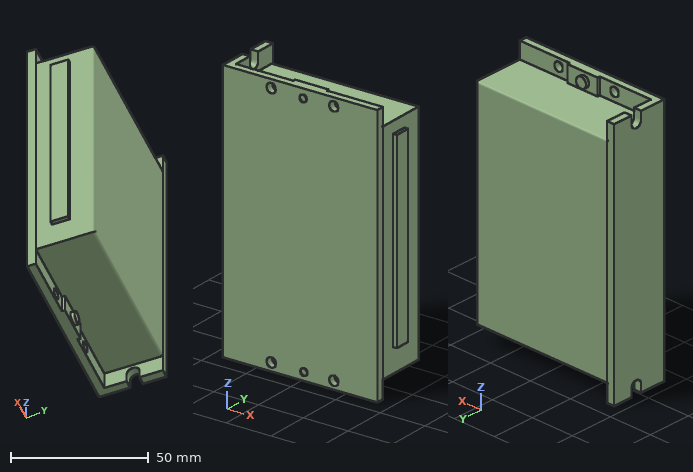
import cadquery as cq

BRACKET_LENGTH_X = 69.1
DEPTH_Y = 26.5
HEIGHT_Z = 116.0
SHEET = 3.5

SLOT_WIDTH = 5.0
SLOT_DEPTH = 6.1
SLOT_CENTRE_Y = 14.7

HOLE_DIAMETER = 4.1
HOLE_CENTRES_X = (21.7, 49.6)
HOLE_END_DISTANCE = 3.6

COVER_END_GAP = 7.8
COVER_FILLET = 1.0

PAD_START_X = 29.0
PAD_LENGTH_X = 15.1
PAD_THICKNESS = 1.2

BOSS_DIAMETER = 5.0
BOSS_HEIGHT = 1.5
DIMPLE_DIAMETER = 3.0
DIMPLE_DEPTH = 0.3
UPPER_BOSS_X = 35.8
UPPER_BOSS_END_DISTANCE = 4.1
LOWER_BOSS_X = 36.2
LOWER_BOSS_END_DISTANCE = 3.5

CONNECTOR_THICKNESS_X = 1.6
CONNECTOR_WIDTH_Y = 7.0
CONNECTOR_START_Y = 9.9
CONNECTOR_BOTTOM_Z = 18.5
CONNECTOR_TOP_Z = 103.0

BOSS_CENTRES = (
    (UPPER_BOSS_X, HEIGHT_Z - UPPER_BOSS_END_DISTANCE),
    (LOWER_BOSS_X, LOWER_BOSS_END_DISTANCE),
)


def box(size_x, size_y, size_z, corner):
    """Box that grows in +X, +Y and +Z from its lowest corner."""
    return cq.Workplane("XY").box(size_x, size_y, size_z, centered=False).translate(corner)


def cylinder_along_y(diameter, length, centre_x, start_y, centre_z):
    """Cylinder that grows in +Y from start_y."""
    base = cq.Vector(centre_x, start_y, centre_z)
    return cq.Workplane(cq.Solid.makeCylinder(diameter / 2, length, base, cq.Vector(0, 1, 0)))


def make_end_slot(end_z, inward):
    """Cutter for a round-bottomed slot in the leg; inward is the Z direction into the leg."""
    half_width = SLOT_WIDTH / 2
    arc_start_z = end_z + inward * (SLOT_DEPTH - half_width)
    return (
        cq.Workplane("YZ")
        .moveTo(SLOT_CENTRE_Y - half_width, end_z)
        .lineTo(SLOT_CENTRE_Y - half_width, arc_start_z)
        .threePointArc(
            (SLOT_CENTRE_Y, end_z + inward * SLOT_DEPTH),
            (SLOT_CENTRE_Y + half_width, arc_start_z),
        )
        .lineTo(SLOT_CENTRE_Y + half_width, end_z)
        .close()
        .extrude(SHEET)
    )


def make_bracket():
    """L-shaped bracket: a plate facing -Y and a leg facing -X."""
    plate = box(BRACKET_LENGTH_X, SHEET, HEIGHT_Z, (0, 0, 0))
    leg = box(SHEET, DEPTH_Y, HEIGHT_Z, (0, 0, 0))
    bracket = plate.union(leg)

    for pad_z in (0, HEIGHT_Z - COVER_END_GAP):
        pad = box(PAD_LENGTH_X, PAD_THICKNESS, COVER_END_GAP, (PAD_START_X, SHEET, pad_z))
        bracket = bracket.union(pad)

    for x, z in BOSS_CENTRES:
        boss = cylinder_along_y(BOSS_DIAMETER, BOSS_HEIGHT, x, SHEET + PAD_THICKNESS, z)
        dimple = cylinder_along_y(DIMPLE_DIAMETER, DIMPLE_DEPTH, x, 0, z)
        bracket = bracket.union(boss).cut(dimple)

    for x in HOLE_CENTRES_X:
        for z in (HOLE_END_DISTANCE, HEIGHT_Z - HOLE_END_DISTANCE):
            bracket = bracket.cut(cylinder_along_y(HOLE_DIAMETER, SHEET, x, 0, z))

    for end_z, inward in ((0, 1), (HEIGHT_Z, -1)):
        bracket = bracket.cut(make_end_slot(end_z, inward))
    return bracket


def make_cover():
    """Block seated in the corner of the bracket, rounded around its free +Y face."""
    block = box(
        BRACKET_LENGTH_X - SHEET,
        DEPTH_Y - SHEET,
        HEIGHT_Z - 2 * COVER_END_GAP,
        (SHEET, SHEET, COVER_END_GAP),
    )
    free_edges = block.faces(">Y").edges("|X or >X")
    return free_edges.fillet(COVER_FILLET)


def make_connector():
    """Plain strip standing on the +X side of the cover."""
    return box(
        CONNECTOR_THICKNESS_X,
        CONNECTOR_WIDTH_Y,
        CONNECTOR_TOP_Z - CONNECTOR_BOTTOM_Z,
        (BRACKET_LENGTH_X, CONNECTOR_START_Y, CONNECTOR_BOTTOM_Z),
    )


bracket = make_bracket()
cover = make_cover()
connector = make_connector()

result = cq.Compound.makeCompound([bracket.val(), cover.val(), connector.val()])